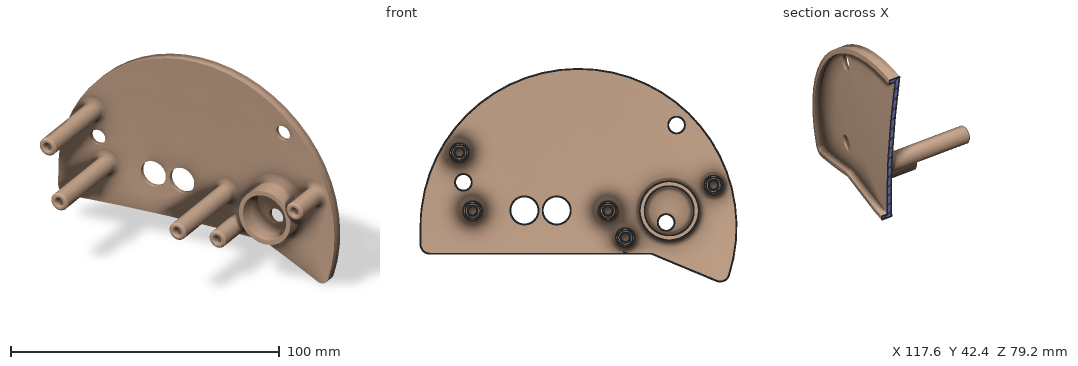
import cadquery as cq
import math

RIM_RADIUS = 58.8
DOME_RISE = 3.6
RIM_THICKNESS = 4.4
WALL = 1.9
BORDER_WIDTH = 2.0
DOME_RADIUS = (RIM_RADIUS**2 + DOME_RISE**2) / (2 * DOME_RISE)

BOTTOM_Z = -10.0
BEND_X = 27.1
SLOPE_ANGLE = 22.6
CORNER_RADIUS = 3.5
BEND_RADIUS = 8.2

LONG_PIN_TIP = -34.5
SHORT_PIN_TIP = -15.5
LONG_PINS = [(-44.4, 27.7), (-39.4, 6.0), (11.0, 6.0)]
SHORT_PINS = [(17.4, -4.0), (50.2, 15.5)]
PIN_RADIUS = 3.5
PIN_CHAMFER = 0.7
PIN_FOOT_FILLET = 2.0
BORE_RADIUS = 1.6
BORE_CHAMFER = 0.4
BORE_DEPTH = 9.4
DRILL_POINT_ANGLE = 118.0

COLLAR_CENTRE = (33.8, 6.0)
COLLAR_TIP = -8.5
COLLAR_RADIUS = 11.0
COLLAR_BORE_RADIUS = 9.2
COLLAR_FOOT_FILLET = 2.2

SMALL_HOLE_RADIUS = 3.1
SMALL_HOLES = [(36.5, 37.9), (-42.8, 16.6), (32.6, 1.6)]
LARGE_HOLE_RADIUS = 5.2
LARGE_HOLES = [(-20.1, 6.1), (-8.1, 6.1)]

PRISM_REACH = 23.5
SELECT_MARGIN = 0.1


def ball(offset):
    """Ball concentric with the dome, larger than the hollow face by offset."""
    return cq.Workplane().sphere(DOME_RADIUS + offset).translate((0, DOME_RISE - DOME_RADIUS, 0))


def hollow_face_y(x, z):
    """Height of the hollow face at (x, z)."""
    return DOME_RISE - DOME_RADIUS + math.sqrt(DOME_RADIUS**2 - x**2 - z**2)


def y_cylinder(centre, radius, y_start, y_end):
    x, z = centre
    plane = cq.Plane((x, y_start, z), xDir=(1, 0, 0), normal=(0, 1, 0))
    return cq.Workplane(plane).circle(radius).extrude(y_end - y_start)


def outline_prism(inset):
    """Prism along Y of the D outline, moved inwards by inset, with sharp corners."""
    radius = RIM_RADIUS - inset
    half_slope = math.radians(SLOPE_ANGLE) / 2
    slope = math.tan(2 * half_slope)
    bottom = BOTTOM_Z + inset
    bend_x = BEND_X + inset * math.tan(half_slope)
    level = bottom + slope * bend_x
    a = 1 + slope**2
    corner_x = (slope * level + math.sqrt(a * radius**2 - level**2)) / a
    corner_z = level - slope * corner_x
    plane = cq.Plane((0, -PRISM_REACH, 0), xDir=(1, 0, 0), normal=(0, -1, 0))
    diagonal = radius * math.sqrt(0.5)
    return (
        cq.Workplane(plane)
        .moveTo(-radius, bottom)
        .lineTo(bend_x, bottom)
        .lineTo(corner_x, corner_z)
        .threePointArc((diagonal, diagonal), (0, radius))
        .threePointArc((-diagonal, diagonal), (-radius, 0))
        .close()
        .extrude(-2 * PRISM_REACH)
    )


def round_upright(prism, x, z, radius):
    """Round the corner of the prism whose Y-parallel edge is nearest to (x, z)."""
    corner = cq.selectors.NearestToPointSelector((x, 0, z))
    return prism.edges("|Y").edges(corner).fillet(radius)


def rounded_prism(inset):
    """Outline prism with its two lower outer corners rounded."""
    radius = CORNER_RADIUS - inset
    prism = round_upright(outline_prism(inset), -RIM_RADIUS, BOTTOM_Z, radius)
    return prism.edges("|Y").edges("<Z").fillet(radius)


def make_plate():
    shell = rounded_prism(0).intersect(ball(RIM_THICKNESS)).cut(ball(0))
    recess = rounded_prism(BORDER_WIDTH)
    recess = round_upright(recess, BEND_X, BOTTOM_Z + BORDER_WIDTH, BEND_RADIUS)
    return shell.cut(recess.cut(ball(WALL)))


def box_around(centre, radius, y_start, y_end):
    """Selector for edges lying wholly around a post between two Y levels."""
    x, z = centre
    reach = radius + SELECT_MARGIN
    return cq.selectors.BoxSelector(
        (x - reach, y_start, z - reach), (x + reach, y_end, z + reach), boundingbox=True
    )


def add_post(body, centre, radius, tip, foot_fillet):
    """Join a round post to the hollow face and fillet its foot."""
    foot = hollow_face_y(*centre)
    post = y_cylinder(centre, radius, tip, foot + WALL / 2)
    foot_edges = box_around(centre, radius, foot - WALL, foot + WALL / 2)
    return body.union(post).edges(foot_edges).fillet(foot_fillet)


def pin_bore(centre, tip):
    """Cutter for a chamfered blind bore with a drill point."""
    x, z = centre
    point = BORE_RADIUS / math.tan(math.radians(DRILL_POINT_ANGLE / 2))
    profile = [
        (0, tip),
        (BORE_RADIUS + BORE_CHAMFER, tip),
        (BORE_RADIUS, tip + BORE_CHAMFER),
        (BORE_RADIUS, tip + BORE_DEPTH),
        (0, tip + BORE_DEPTH + point),
    ]
    cutter = cq.Workplane("XY").polyline(profile).close().revolve(360, (0, 0, 0), (0, 1, 0))
    return cutter.translate((x, 0, z))


def add_pin(body, centre, tip):
    body = add_post(body, centre, PIN_RADIUS, tip, PIN_FOOT_FILLET)
    tip_edges = box_around(centre, PIN_RADIUS, tip - SELECT_MARGIN, tip + SELECT_MARGIN)
    return body.edges(tip_edges).chamfer(PIN_CHAMFER).cut(pin_bore(centre, tip))


def add_collar(body):
    body = add_post(body, COLLAR_CENTRE, COLLAR_RADIUS, COLLAR_TIP, COLLAR_FOOT_FILLET)
    bore = y_cylinder(COLLAR_CENTRE, COLLAR_BORE_RADIUS, COLLAR_TIP, PRISM_REACH)
    return body.cut(bore.intersect(ball(0)))


result = make_plate()
result = add_collar(result)
for pin_centre in LONG_PINS:
    result = add_pin(result, pin_centre, LONG_PIN_TIP)
for pin_centre in SHORT_PINS:
    result = add_pin(result, pin_centre, SHORT_PIN_TIP)
for hole_radius, hole_centres in ((SMALL_HOLE_RADIUS, SMALL_HOLES), (LARGE_HOLE_RADIUS, LARGE_HOLES)):
    for hole_centre in hole_centres:
        result = result.cut(y_cylinder(hole_centre, hole_radius, -PRISM_REACH, PRISM_REACH))